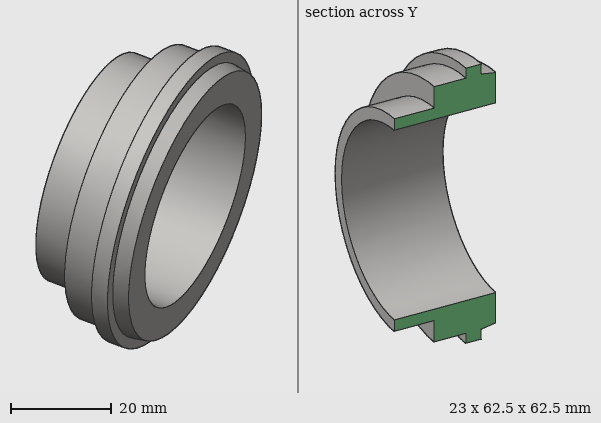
import cadquery as cq

flange_diameter = 62.5
shoulder_diameter = 58.0
spigot_diameter = 48.3
bore_diameter = 42.95
nose_end_diameter = 56.9

spigot_length = 9.0
shoulder_length = 7.2
flange_length = 3.55
nose_length = 3.25

shoulder_start = spigot_length
flange_start = shoulder_start + shoulder_length
nose_start = flange_start + flange_length
total_length = nose_start + nose_length


def disc(start, length, diameter):
    """Solid cylinder along +X beginning at the given axial position."""
    return cq.Workplane("YZ", origin=(start, 0, 0)).circle(diameter / 2).extrude(length)


def tapered_nose():
    """Conical end that narrows from the shoulder diameter toward +X."""
    return (
        cq.Workplane("XY")
        .moveTo(nose_start, 0)
        .lineTo(nose_start, shoulder_diameter / 2)
        .lineTo(total_length, nose_end_diameter / 2)
        .lineTo(total_length, 0)
        .close()
        .revolve(360, (0, 0, 0), (1, 0, 0))
    )


spigot = disc(0, spigot_length, spigot_diameter)
shoulder = disc(shoulder_start, shoulder_length, shoulder_diameter)
flange = disc(flange_start, flange_length, flange_diameter)
bore = disc(0, total_length, bore_diameter)

result = spigot.union(shoulder).union(flange).union(tapered_nose()).cut(bore)